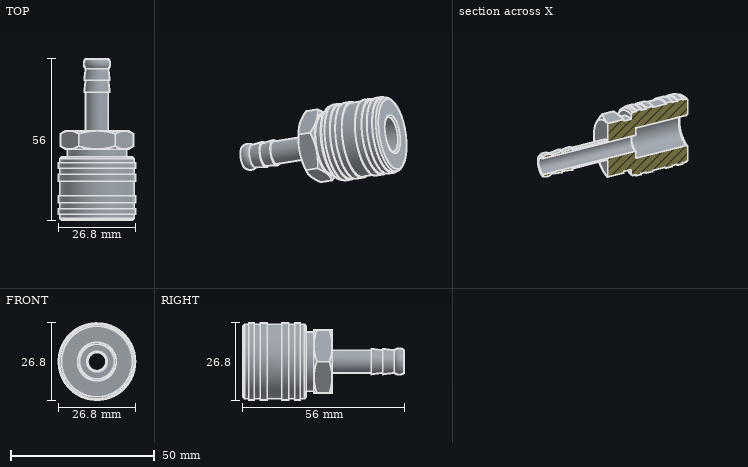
import math

import cadquery as cq


body_radius = 13.0
body_length = 22.0
body_chamfer = 0.7

ring_radius = 13.4
outer_ring_start = 2.0
outer_ring_width = 2.0
inner_ring_start = 6.0
inner_ring_width = 2.5

neck_radius = 10.35
hex_sides = 6
hex_across_flats = 22.0
hex_start = 24.7
hex_end = 31.0
hex_chamfer_angle = 30.0

stem_radius = 4.0
barb_radius = 4.5
barb_length = 4.05
barb_count = 2
tip_radius = 4.65
tip_length = 3.4
overall_length = 56.0

socket_radius = 6.05
socket_depth = 20.0
socket_chamfer = 0.65
hole_radius = 3.15
hole_chamfer = 0.4


def revolve(profile):
    """Close an outline of radius against y and turn it about the Y axis."""
    return profile.close().revolve(360, (0, 0), (0, 1))


def cone(radius_start, radius_end, y_start, y_end):
    """Solid truncated cone about the Y axis between two stations."""
    profile = cq.Workplane("XY").moveTo(0, y_start).lineTo(radius_start, y_start)
    return revolve(profile.lineTo(radius_end, y_end).lineTo(0, y_end))


def cylinder(radius, y_start, y_end):
    """Solid cylinder about the Y axis between two stations."""
    return cone(radius, radius, y_start, y_end)


def make_body():
    """Chamfered cylinder with four raised grip rings."""
    face_radius = body_radius - body_chamfer
    body = revolve(
        cq.Workplane("XY")
        .lineTo(face_radius, 0)
        .lineTo(body_radius, body_chamfer)
        .lineTo(body_radius, body_length - body_chamfer)
        .lineTo(face_radius, body_length)
        .lineTo(0, body_length)
    )
    rings = (
        (outer_ring_start, outer_ring_width),
        (inner_ring_start, inner_ring_width),
    )
    for start, width in rings:
        mirrored_start = body_length - start - width
        for y_start in (start, mirrored_start):
            body = body.union(cylinder(ring_radius, y_start, y_start + width))
    return body


def make_hexagon():
    """Hexagon with corners along X, its corners bevelled at both ends."""
    flat_radius = hex_across_flats / 2
    corner_radius = flat_radius / math.cos(math.pi / hex_sides)
    bevel = (corner_radius - flat_radius) * math.tan(math.radians(hex_chamfer_angle))
    prism = (
        cq.Workplane("XZ", origin=(0, hex_start, 0))
        .polygon(hex_sides, 2 * corner_radius)
        .extrude(hex_start - hex_end)
    )
    envelope = revolve(
        cq.Workplane("XY")
        .moveTo(0, hex_start)
        .lineTo(flat_radius, hex_start)
        .lineTo(corner_radius, hex_start + bevel)
        .lineTo(corner_radius, hex_end - bevel)
        .lineTo(flat_radius, hex_end)
        .lineTo(0, hex_end)
    )
    return prism.intersect(envelope)


def make_stem():
    """Hose stem with tapered barbs behind a rounded tip."""
    tip_start = overall_length - tip_length
    stem = cylinder(stem_radius, hex_end, tip_start)
    for index in range(1, barb_count + 1):
        y_start = tip_start - index * barb_length
        stem = stem.union(cone(barb_radius, stem_radius, y_start, y_start + barb_length))
    tip = revolve(
        cq.Workplane("XY")
        .moveTo(0, tip_start)
        .lineTo(stem_radius, tip_start)
        .threePointArc(
            (tip_radius, tip_start + tip_length / 2),
            (stem_radius, overall_length),
        )
        .lineTo(0, overall_length)
    )
    return stem.union(tip)


def make_bore():
    """Chamfered socket in the body followed by a hole through the stem."""
    socket = cylinder(socket_radius, 0, socket_depth)
    socket_mouth = cone(socket_radius + socket_chamfer, socket_radius, 0, socket_chamfer)
    hole = cylinder(hole_radius, socket_depth, overall_length)
    hole_mouth = cone(
        hole_radius + hole_chamfer, hole_radius, socket_depth, socket_depth + hole_chamfer
    )
    return socket.union(socket_mouth).union(hole).union(hole_mouth)


neck = cylinder(neck_radius, body_length, hex_start)
outside = make_body().union(neck).union(make_hexagon()).union(make_stem())
result = outside.cut(make_bore())